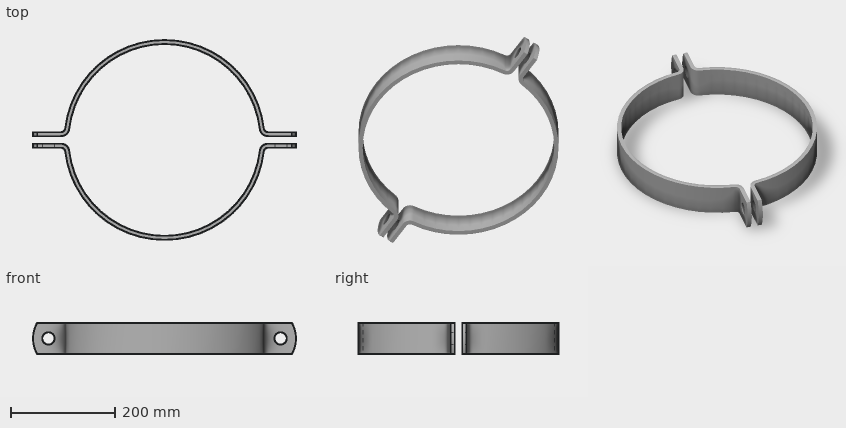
import cadquery as cq
import math

overall_length = 504.0
ring_diameter = 383.0
strap_width = 60.0
strap_thickness = 8.0
flange_gap = 14.0
bend_inner_radius = strap_thickness
tip_radius = strap_width
hole_diameter = 23.0
hole_spacing = 444.5

ring_outer = ring_diameter / 2
ring_inner = ring_outer - strap_thickness
bend_outer_radius = bend_inner_radius + strap_thickness
flange_inner_y = flange_gap / 2
flange_outer_y = flange_inner_y + strap_thickness
tip_x = overall_length / 2

bend_center_y = flange_outer_y + bend_inner_radius
bend_center_distance = ring_outer + bend_inner_radius
bend_center_x = math.sqrt(bend_center_distance**2 - bend_center_y**2)
ring_end_angle = math.atan2(bend_center_y, bend_center_x)
bend_mid_angle = (math.pi + ring_end_angle + 1.5 * math.pi) / 2


def ring_point(radius):
    """Point on the ring where the right-hand bend starts."""
    return radius * math.cos(ring_end_angle), radius * math.sin(ring_end_angle)


def bend_middle(radius):
    """Point halfway around the right-hand bend."""
    return (
        bend_center_x + radius * math.cos(bend_mid_angle),
        bend_center_y + radius * math.sin(bend_mid_angle),
    )


def mirrored(point):
    """Same point on the left-hand side."""
    return -point[0], point[1]


def bent_strap():
    """Half ring with a bend and a square-ended flange on each side."""
    return (
        cq.Workplane("XY")
        .workplane(offset=-strap_width / 2)
        .moveTo(tip_x, flange_outer_y)
        .lineTo(bend_center_x, flange_outer_y)
        .threePointArc(bend_middle(bend_inner_radius), ring_point(ring_outer))
        .threePointArc((0, ring_outer), mirrored(ring_point(ring_outer)))
        .threePointArc(mirrored(bend_middle(bend_inner_radius)), (-bend_center_x, flange_outer_y))
        .lineTo(-tip_x, flange_outer_y)
        .lineTo(-tip_x, flange_inner_y)
        .lineTo(-bend_center_x, flange_inner_y)
        .threePointArc(mirrored(bend_middle(bend_outer_radius)), mirrored(ring_point(ring_inner)))
        .threePointArc((0, ring_inner), ring_point(ring_inner))
        .threePointArc(bend_middle(bend_outer_radius), (bend_center_x, flange_inner_y))
        .lineTo(tip_x, flange_inner_y)
        .close()
        .extrude(strap_width)
    )


def tip_envelope():
    """Plate with arced ends that trims the flange tips."""
    half_width = strap_width / 2
    tip_depth = tip_radius - math.sqrt(tip_radius**2 - half_width**2)
    corner_x = tip_x - tip_depth
    return (
        cq.Workplane("XZ")
        .moveTo(-corner_x, -half_width)
        .lineTo(corner_x, -half_width)
        .threePointArc((tip_x, 0), (corner_x, half_width))
        .lineTo(-corner_x, half_width)
        .threePointArc((-tip_x, 0), (-corner_x, -half_width))
        .close()
        .extrude(-ring_diameter)
    )


def bolt_holes():
    """Cutters for one bolt hole through each flange."""
    return (
        cq.Workplane("XZ")
        .pushPoints([(-hole_spacing / 2, 0), (hole_spacing / 2, 0)])
        .circle(hole_diameter / 2)
        .extrude(-bend_center_y)
    )


def clamp_half(rotation):
    """One clamp half, turned about Z into its place."""
    half = bent_strap().intersect(tip_envelope()).cut(bolt_holes())
    return half.rotate((0, 0, 0), (0, 0, 1), rotation)


clamp_halves = [clamp_half(rotation).val() for rotation in (0, 180)]
result = cq.Compound.makeCompound([half.Solids()[0] for half in clamp_halves])